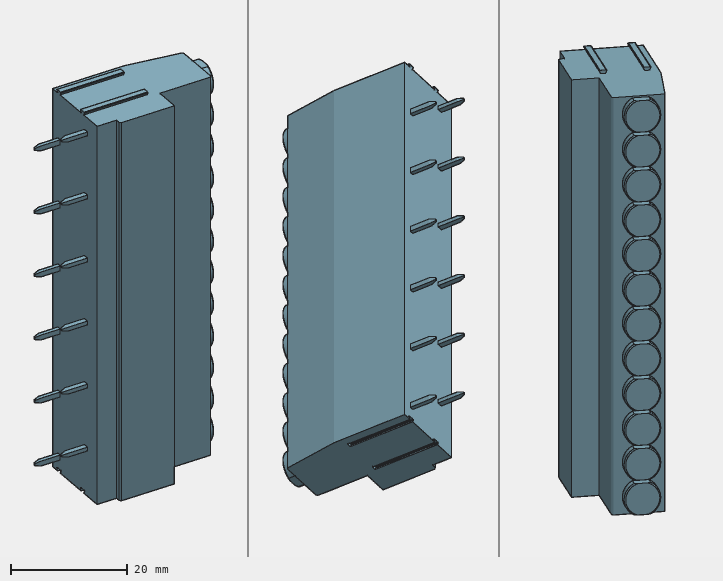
import cadquery as cq

pole_count = 12
block_height = 76.2
pole_pitch = block_height / pole_count

block_depth = 25.35
block_width = 15.8
shoulder_y = 14.9
slope_start_y = 14.5
top_left_x = 1.6
top_right_x = 11.0
notch_width = 1.15
notch_depth = 3.9
top_edge_radius = 0.45
notch_chamfer = 0.3

rib_centers_x = (2.1, 9.8)
rib_length = 12.8
rib_height = 0.6
rib_root_width = 0.85
rib_shoulder_width = 1.4
rib_shoulder_height = 0.5
rib_crest_width = 1.1

head_x = 5.9
head_radius = 3.2
head_across_flats = 5.75
head_height = 1.7
head_chamfer = 0.2

pin_rows_x = (2.15, 11.0)
pin_thickness = 0.8
pin_width = 1.0
pin_length = 5.0
tip_length = 1.1
tip_ratio = 0.4


def make_housing():
    outline = [
        (0, 0),
        (block_width - notch_width, 0),
        (block_width - notch_width, notch_depth),
        (block_width - notch_chamfer, notch_depth),
        (block_width, notch_depth + notch_chamfer),
        (block_width, shoulder_y),
        (top_right_x, shoulder_y),
        (top_right_x, block_depth),
        (top_left_x, block_depth),
        (0, slope_start_y),
    ]
    housing = cq.Workplane("XY").polyline(outline).close().extrude(block_height)
    return housing.faces(">Y").edges("|Z").fillet(top_edge_radius)


def make_dovetail(center_x, base_z):
    """Dovetail bar rising from base_z, undercut below its bevelled crest."""
    half_root = rib_root_width / 2
    half_shoulder = rib_shoulder_width / 2
    half_crest = rib_crest_width / 2
    section = [
        (center_x - half_root, base_z),
        (center_x + half_root, base_z),
        (center_x + half_shoulder, base_z + rib_shoulder_height),
        (center_x + half_crest, base_z + rib_height),
        (center_x - half_crest, base_z + rib_height),
        (center_x - half_shoulder, base_z + rib_shoulder_height),
    ]
    return cq.Workplane("XZ").polyline(section).close().extrude(-rib_length)


def make_head(center_z):
    disc = (
        cq.Workplane("XZ", origin=(head_x, block_depth, center_z))
        .circle(head_radius)
        .extrude(-head_height)
        .faces(">Y")
        .chamfer(head_chamfer)
    )
    flats = cq.Workplane("XY").box(2 * head_radius, 2 * head_height, head_across_flats)
    return disc.intersect(flats.translate((head_x, block_depth, center_z)))


def make_pin(center_x, center_z, size_x, size_z):
    """Rectangular pin pointing along -Y with a tapered tip."""
    shank_length = pin_length - tip_length
    shank = (
        cq.Workplane("XZ", origin=(center_x, 0, center_z))
        .rect(size_x, size_z)
        .extrude(shank_length)
    )
    tip = (
        cq.Workplane("XZ", origin=(center_x, -shank_length, center_z))
        .rect(size_x, size_z)
        .workplane(offset=tip_length)
        .rect(size_x * tip_ratio, size_z * tip_ratio)
        .loft()
    )
    return shank.union(tip)


result = make_housing()

for rib_x in rib_centers_x:
    result = result.union(make_dovetail(rib_x, block_height))
    result = result.cut(make_dovetail(rib_x, 0))

for pole in range(pole_count):
    pole_z = (pole + 0.5) * pole_pitch
    result = result.union(make_head(pole_z))
    if pole % 2 == 0:
        pin = make_pin(pin_rows_x[0], pole_z, pin_thickness, pin_width)
    else:
        pin = make_pin(pin_rows_x[1], pole_z, pin_width, pin_thickness)
    result = result.union(pin)